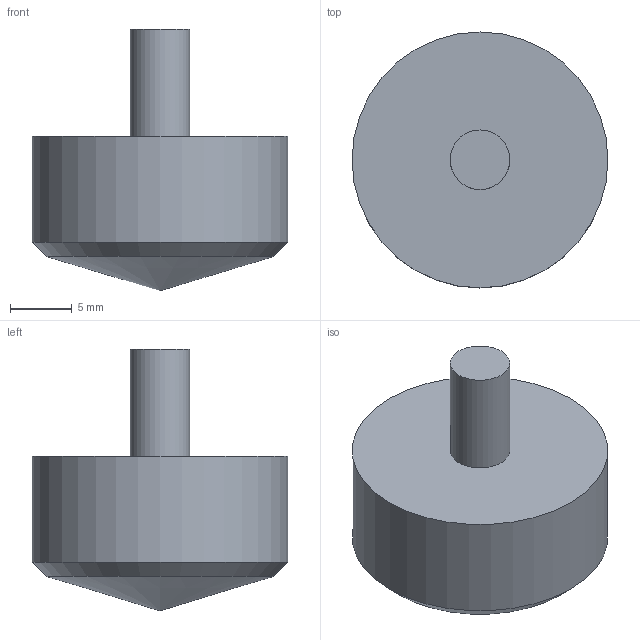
import cadquery as cq

total_height = 21.1
body_diameter = 20.64
pin_diameter = 4.8
pin_length = 8.65
chamfer_size = 1.16
tip_height = 2.77

body_radius = body_diameter / 2
pin_radius = pin_diameter / 2
tip_base_radius = body_radius - chamfer_size
wall_bottom = tip_height + chamfer_size
shoulder_level = total_height - pin_length


def half_profile():
    """Closed half section in the XZ plane, from the point up to the pin end."""
    return (
        cq.Workplane("XZ")
        .moveTo(0, 0)
        .lineTo(tip_base_radius, tip_height)
        .lineTo(body_radius, wall_bottom)
        .lineTo(body_radius, shoulder_level)
        .lineTo(pin_radius, shoulder_level)
        .lineTo(pin_radius, total_height)
        .lineTo(0, total_height)
        .close()
    )


result = half_profile().revolve(360, (0, 0, 0), (0, 1, 0))